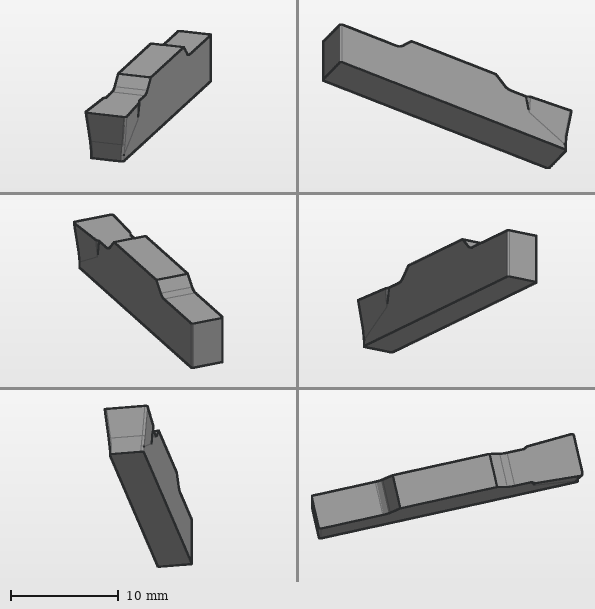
import cadquery as cq
import math

length = 25.02
height = 5.78
deck_height = 4.53
body_width = 3.23
head_width = 4.08

rib_front = 8.08
rib_back = 17.3
ramp_run = height - deck_height
ramp_radius = 1.0

relief_angle = 7.0
relief_bottom = 1.65
relief_depth = (deck_height - relief_bottom) * math.tan(math.radians(relief_angle))

head_length = 4.48
side_angle = 3.2
side_rear_taper = math.tan(math.radians(side_angle))
side_down_taper = 0.1
shoulder_run = 0.33
shoulder_radius = 0.3

front_corner_radius = 0.23
back_corner_radius = 0.18

cut_overrun = 0.25
edge_margin = 0.003


def side_profile(points, width):
    """Extrude a closed (Y, Z) outline symmetrically about X = 0."""
    return cq.Workplane("YZ").polyline(points).close().extrude(width / 2, both=True)


def make_body():
    """Bar with a raised rib whose ramps blend into the deck."""
    body = side_profile(
        [
            (0, 0),
            (length, 0),
            (length, deck_height),
            (rib_back + ramp_run, deck_height),
            (rib_back, height),
            (rib_front, height),
            (rib_front - ramp_run, deck_height),
            (0, deck_height),
        ],
        body_width,
    )
    for foot in (rib_front - ramp_run, rib_back + ramp_run):
        body = body.edges(cq.selectors.NearestToPointSelector((0, foot, deck_height))).fillet(ramp_radius)
    return body.edges("|Z and >Y").fillet(back_corner_radius)


def head_half_width(y, z):
    return head_width / 2 - side_rear_taper * y - side_down_taper * (deck_height - z)


def head_section(y, half_top, half_base):
    """Trapezoid across the bar at Y = y, from the base up to the deck."""
    return cq.Wire.makePolygon(
        [
            cq.Vector(-half_base, y, 0),
            cq.Vector(half_base, y, 0),
            cq.Vector(half_top, y, deck_height),
            cq.Vector(-half_top, y, deck_height),
        ],
        close=True,
    )


def band_selector(y_min, y_max):
    """Select everything centred between two Y positions."""
    return cq.selectors.BoxSelector((-head_width, y_min, -height), (head_width, y_max, 2 * height))


def make_head():
    """Tapered block with sloping shoulders that fade into the body sides."""
    front = head_section(0, head_half_width(0, deck_height), head_half_width(0, 0))
    rear_top = head_half_width(head_length, deck_height)
    rear_base = head_half_width(head_length, 0)
    rear = head_section(head_length, rear_top, rear_base)
    narrowing = rear_top - body_width / 2
    end = head_section(head_length + 2 * shoulder_run, rear_top - 2 * narrowing, rear_base - 2 * narrowing)
    block = cq.Solid.makeLoft([front, rear], True)
    shoulders = cq.Solid.makeLoft([rear, end], True)
    head = cq.Workplane(block).union(cq.Workplane(shoulders))
    shoulder_edges = head.edges(band_selector(head_length - edge_margin, head_length + edge_margin))
    return shoulder_edges.edges("not #Z").fillet(shoulder_radius)


def cut_front_relief(part):
    """Lean the upper front face back below the cutting edge, then drop straight to the base."""
    relief = side_profile(
        [
            (0, deck_height),
            (relief_depth, relief_bottom),
            (relief_depth, 0),
            (-cut_overrun, 0),
            (-cut_overrun, deck_height),
        ],
        2 * head_width,
    )
    return part.cut(relief)


def round_front_corners(part):
    """Round the two side corners along the upper and lower front faces."""
    front_edges = part.edges(band_selector(-edge_margin, relief_depth + edge_margin))
    return front_edges.edges("not #Z").fillet(front_corner_radius)


body = round_front_corners(cut_front_relief(make_body()))
head = round_front_corners(cut_front_relief(make_head()))
result = body.union(head)